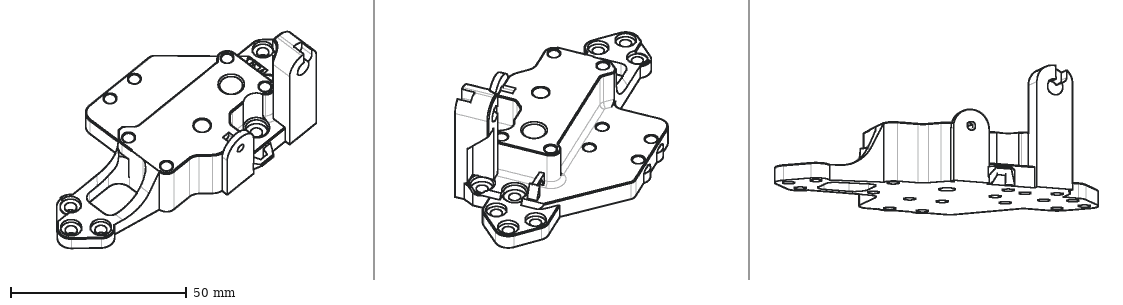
import cadquery as cq
import math

MARGIN = 0.1

PAD_TOP = 4.5
PLATE_TOP = 6.2
BLOCK_TOP = 17.25
POST_TOP = 35.7

END_HOLE_Y = 45.5
PAIR_OFFSET = 6.0
PAIR_HOLE_Y = END_HOLE_Y - PAIR_OFFSET
PAD_RADIUS = 3.985
PAD_HOLES = [(0, END_HOLE_Y), (-PAIR_OFFSET, PAIR_HOLE_Y), (PAIR_OFFSET, PAIR_HOLE_Y)]
PAD_HALF_WIDTH = PAIR_OFFSET + PAD_RADIUS
PAD_OVERLAP = 8.0
PAD_COUNTERBORE = 6.0
PAD_COUNTERBORE_DEPTH = 1.2
PAD_STEP_X = -4.3
PAD_STEP_DEPTH = 0.9

SCREW_HOLE = 3.4
BLOCK_HOLES_X = (-4.0, 11.0)
BLOCK_HOLES_Y = (-17.75, 22.75)
PLATE_HOLES_X = (-24.0, -9.0)
PLATE_HOLES_Y = (-4.6, 5.4)
DEEP_HOLES_X = (3.5, 13.5)
DEEP_HOLES_Y = (16.6, 31.6)
DEEP_COUNTERBORE = 6.5
DEEP_COUNTERBORE_FLOOR = 4.0
DEEP_RIM_CHAMFER = 0.5
RIM_CHAMFER = 0.25
PIVOT_HOLE_X = 8.0
PIVOT_HOLE = 4.7

PLATE_LEFT = -26.6
PLATE_FRONT = -14.35
PLATE_BACK = 35.0
PLATE_RIGHT = 19.45
PLATE_DIAGONAL_X = -5.5
PLATE_DIAGONAL_Y = 15.1
PLATE_CORNER_X = 15.0
PLATE_CORNER_Y = 32.7
PLATE_RIGHT_END_Y = -2.0
PLATE_FRONT_RADIUS = 4.0
PLATE_BACK_RADIUS = 2.5
PLATE_NECK_RADIUS = 2.8
PLATE_BACK_BEVEL = 1.05
EDGE_CHAMFER = 0.3

BOSS_RADIUS = 2.9
BOSS_DIAGONAL = BOSS_RADIUS * math.sqrt(0.5)
BLOCK_LEFT = -5.2
BLOCK_CORNER_LEFT = -8.15
BLOCK_FRONT = BLOCK_HOLES_Y[0] - BOSS_RADIUS
BLOCK_BACK = BLOCK_HOLES_Y[1] + BOSS_RADIUS
BLOCK_RIGHT_FRONT = BLOCK_HOLES_X[1] + BOSS_RADIUS
BLOCK_NECK_Y = -16.0
BLOCK_NECK_RADIUS = 2.0
BLOCK_DIAGONAL = 23.65
BLOCK_DIAGONAL_INNER_RADIUS = 3.9
BLOCK_DIAGONAL_OUTER_RADIUS = 5.0
FACET_Y = BLOCK_HOLES_Y[0] - 2 * BOSS_DIAGONAL + BLOCK_HOLES_X[0] - BLOCK_CORNER_LEFT
RECESS_LEFT = 10.6
RECESS_CORNER = 2.8
RECESS_RADIUS = 2.0
RECESS_FRONT = 6.0
BASE_FILLET = 1.4

ARM_OUTER_LEFT = BLOCK_CORNER_LEFT
WINDOW_LEFT = -5.2
WINDOW_BACK = BLOCK_FRONT
WINDOW_FRONT = -35.2
WINDOW_RIGHT_BACK = 7.4
WINDOW_RIGHT_FRONT = 5.3
WINDOW_RADIUS = 2.6
WINDOW_WIDE_RADIUS = 4.2
ARM_RIGHT_BACK = 11.0
ARM_RIGHT_FRONT = 7.5
LEFT_ARM_TOP = 12.4
LEFT_ARM_SWEEP = 6.2
RIGHT_ARM_BEND_Y = -24.2
RIGHT_ARM_BEND_Z = 10.1

POST_LEFT = 10.9
POST_RIGHT = 21.15
POST_FRONT = 22.3
POST_BACK = 33.3
POST_CORNER_RADIUS = 5.0
POST_EDGE_CHAMFER = 0.4
POST_BORE = 4.7
POST_BORE_Y = 27.9
POST_BORE_Z = 29.5
DRIVER_CLEARANCE_RADIUS = 3.2
POST_NOTCH_Y = 29.1
POST_NOTCH_TOP = 25.1
POST_NOTCH_SLOPE = 6.5
POST_SLOT_X = 17.1
POST_SLOT_Y = 29.8
POST_SLOT_WIDTH = 3.3
POST_SLOT_Z = 32.5

TAB_LEFT = 19.2
TAB_Y = 2.15
TAB_RADIUS = 5.5
TAB_TOP = 21.0
TAB_PIN_DIAMETER = 2.5
TAB_PIN_X = 15.3
TAB_PIN_Z = 16.2

LOOP_RIGHT = 23.25
LOOP_Y = 11.2
LOOP_TOP = 4.7
LOOP_LIP = 0.6
LOOP_CHAMFER = 0.3
LOOP_WALL = 1.6
LOOP_ROOT = 1.0
LOOP_HALF_BASE = 5.0
LOOP_HALF_TIP = 2.4
LOOP_EYE_HALF_BASE = 2.1
LOOP_EYE_HALF_TIP = 1.3

BRIDGE_X = -2.5
BRIDGE_THICKNESS = 1.5
BRIDGE_HEIGHT = 4.0
BRIDGE_BACK = 33.4
BRIDGE_SLOPE = 2.0
BRIDGE_ROOT = 0.5
BRIDGE_FOOT = 2.4
BRIDGE_FOOT_RISE = 3.0
BRIDGE_FOOT_WIDTH = 3.0
TUNNEL_INSET = 0.7
TUNNEL_SLOPE = 1.1
TUNNEL_ROOF = 1.2

NUB_RADIUS = 3.5
NUB_HEIGHT = 4.2
NUB_CHAMFER = 0.8


def box(x0, x1, y0, y1, z0, z1):
    return cq.Workplane("XY").box(x1 - x0, y1 - y0, z1 - z0, centered=False).translate((x0, y0, z0))


def cylinder(x, y, diameter, z0, z1):
    return cq.Workplane("XY").center(x, y).circle(diameter / 2).extrude(z1 - z0).translate((0, 0, z0))


def x_profile(points, x0, x1):
    """Prism along X from a list of (y, z) points."""
    return cq.Workplane("YZ").polyline(points).close().extrude(x1 - x0).translate((x0, 0, 0))


def round_corner(body, x, y, height, radius):
    """Round the vertical edge that stands at (x, y)."""
    corner = cq.selectors.NearestToPointSelector((x, y, height / 2))
    return body.edges("|Z").edges(corner).fillet(radius)


def pad(side):
    """Triangular pad with three rounded corners; side is +1 for the back, -1 for the front."""
    holes = [(x, side * y) for x, y in PAD_HOLES]
    return cq.Workplane("XY").polyline(holes).close().offset2D(PAD_RADIUS).extrude(PAD_TOP)


def back_pad():
    strip = box(-PAD_HALF_WIDTH, PAD_HALF_WIDTH, PLATE_BACK - PAD_OVERLAP, PAIR_HOLE_Y, 0, PAD_TOP)
    return pad(1).union(strip).faces(">Z").edges().chamfer(EDGE_CHAMFER)


def front_pad():
    body = pad(-1).faces(">Z").edges().chamfer(EDGE_CHAMFER)
    step = box(-PAD_HALF_WIDTH, PAD_STEP_X, -END_HOLE_Y - PAD_RADIUS, -PAIR_HOLE_Y,
               PAD_TOP - PAD_STEP_DEPTH, PAD_TOP)
    return body.cut(step)


def base_plate():
    outline = (
        cq.Workplane("XY")
        .moveTo(PLATE_LEFT, PLATE_FRONT)
        .lineTo(PLATE_LEFT, PLATE_DIAGONAL_Y)
        .lineTo(PLATE_DIAGONAL_X, PLATE_BACK)
        .lineTo(PLATE_CORNER_X, PLATE_BACK)
        .lineTo(PLATE_RIGHT, PLATE_CORNER_Y)
        .lineTo(PLATE_RIGHT, PLATE_RIGHT_END_Y)
        .lineTo(BLOCK_LEFT, FACET_Y)
        .lineTo(BLOCK_CORNER_LEFT, FACET_Y)
        .lineTo(BLOCK_CORNER_LEFT, PLATE_FRONT)
        .close()
        .extrude(PLATE_TOP)
    )
    for x, y, radius in (
        (PLATE_LEFT, PLATE_FRONT, PLATE_FRONT_RADIUS),
        (PLATE_LEFT, PLATE_DIAGONAL_Y, PLATE_BACK_RADIUS),
        (PLATE_DIAGONAL_X, PLATE_BACK, PLATE_BACK_RADIUS),
        (BLOCK_CORNER_LEFT, PLATE_FRONT, PLATE_NECK_RADIUS),
    ):
        outline = round_corner(outline, x, y, PLATE_TOP, radius)
    outline = outline.faces(">Z").edges().chamfer(EDGE_CHAMFER)
    back_bevel = x_profile([(PLATE_BACK, PAD_TOP), (PLATE_BACK - PLATE_BACK_BEVEL, PLATE_TOP),
                            (PLATE_BACK, PLATE_TOP)], PLATE_LEFT, PLATE_RIGHT)
    return outline.cut(back_bevel)


def block():
    left_x, right_x = BLOCK_HOLES_X
    front_y, back_y = BLOCK_HOLES_Y
    d = BOSS_DIAGONAL
    mid_arc_x = left_x - BOSS_RADIUS * math.sin(math.pi / 8)
    mid_arc_y = front_y - BOSS_RADIUS * math.cos(math.pi / 8)
    neck_y = BLOCK_NECK_Y + BLOCK_LEFT - BLOCK_CORNER_LEFT
    body = (
        cq.Workplane("XY")
        .moveTo(left_x, BLOCK_BACK)
        .lineTo(right_x, BLOCK_BACK)
        .threePointArc((right_x + BOSS_RADIUS, back_y), (right_x + d, back_y - d))
        .lineTo(RECESS_LEFT, back_y - 2 * d - right_x + RECESS_LEFT)
        .lineTo(RECESS_LEFT, RECESS_FRONT + RECESS_CORNER)
        .lineTo(RECESS_LEFT + RECESS_CORNER, RECESS_FRONT)
        .lineTo(TAB_LEFT, RECESS_FRONT)
        .lineTo(TAB_LEFT, TAB_LEFT - BLOCK_DIAGONAL)
        .lineTo(BLOCK_RIGHT_FRONT, BLOCK_RIGHT_FRONT - BLOCK_DIAGONAL)
        .lineTo(BLOCK_RIGHT_FRONT, front_y)
        .threePointArc((right_x + d, front_y - d), (right_x, BLOCK_FRONT))
        .lineTo(left_x, BLOCK_FRONT)
        .threePointArc((mid_arc_x, mid_arc_y), (left_x - d, front_y - d))
        .lineTo(BLOCK_CORNER_LEFT, FACET_Y)
        .lineTo(BLOCK_CORNER_LEFT, BLOCK_NECK_Y)
        .lineTo(BLOCK_LEFT, neck_y)
        .lineTo(BLOCK_LEFT, back_y - 2 * d + left_x - BLOCK_LEFT)
        .lineTo(left_x - d, back_y - d)
        .threePointArc((left_x - BOSS_RADIUS, back_y), (left_x, BLOCK_BACK))
        .close()
        .extrude(BLOCK_TOP)
    )
    for x, y, radius in (
        (BLOCK_RIGHT_FRONT, BLOCK_RIGHT_FRONT - BLOCK_DIAGONAL, BLOCK_DIAGONAL_INNER_RADIUS),
        (TAB_LEFT, TAB_LEFT - BLOCK_DIAGONAL, BLOCK_DIAGONAL_OUTER_RADIUS),
        (BLOCK_LEFT, neck_y, BLOCK_NECK_RADIUS),
        (RECESS_LEFT, RECESS_FRONT + RECESS_CORNER, RECESS_RADIUS),
        (RECESS_LEFT + RECESS_CORNER, RECESS_FRONT, RECESS_RADIUS),
    ):
        body = round_corner(body, x, y, BLOCK_TOP, radius)
    return body.faces(">Z").edges().chamfer(EDGE_CHAMFER)


def flared_block():
    """Block whose walls run into the plate through a fillet, trimmed to the top of the plate."""
    slab = box(PLATE_LEFT, 2 * PLATE_RIGHT, -PLATE_BACK, PLATE_BACK, 0, PLATE_TOP)
    near_block = cq.selectors.BoxSelector(
        (BLOCK_CORNER_LEFT - MARGIN, BLOCK_FRONT - MARGIN, PLATE_TOP - MARGIN),
        (TAB_LEFT + MARGIN, BLOCK_BACK + MARGIN, PLATE_TOP + MARGIN))
    flared = slab.union(block()).edges(near_block).fillet(BASE_FILLET)
    zone_top = PLATE_TOP + BASE_FILLET
    zone_bottom = PLATE_TOP - EDGE_CHAMFER
    flare_zone = box(BLOCK_CORNER_LEFT - BASE_FILLET, TAB_LEFT, PLATE_FRONT + EDGE_CHAMFER,
                     BLOCK_BACK + BASE_FILLET, zone_bottom, zone_top)
    neck_zone = box(BLOCK_CORNER_LEFT, 0, BLOCK_NECK_Y, PLATE_FRONT + EDGE_CHAMFER,
                    zone_bottom, zone_top)
    front_right = box(0, TAB_LEFT, PLATE_FRONT, RECESS_FRONT, zone_bottom, zone_top)
    flare_zone = flare_zone.cut(front_right).union(neck_zone)
    return block().union(flared.intersect(flare_zone))


def arms():
    """Two arms around a rounded window, each sweeping down from the block to the front pad."""
    end_y = -PAIR_HOLE_Y
    arm_back_y = BLOCK_FRONT + EDGE_CHAMFER
    footprint = (
        cq.Workplane("XY")
        .polyline([(ARM_OUTER_LEFT, FACET_Y), (ARM_OUTER_LEFT, end_y), (ARM_RIGHT_FRONT, end_y),
                   (ARM_RIGHT_BACK, BLOCK_FRONT), (ARM_RIGHT_BACK, arm_back_y),
                   (BLOCK_HOLES_X[0], arm_back_y)])
        .close().extrude(BLOCK_TOP)
    )
    window = (
        cq.Workplane("XY")
        .polyline([(WINDOW_LEFT, WINDOW_BACK), (WINDOW_LEFT, WINDOW_FRONT),
                   (WINDOW_RIGHT_FRONT, WINDOW_FRONT), (WINDOW_RIGHT_BACK, WINDOW_BACK)])
        .close().extrude(BLOCK_TOP)
    )
    window = round_corner(window, WINDOW_LEFT, WINDOW_BACK, BLOCK_TOP, WINDOW_WIDE_RADIUS)
    for x, y in ((WINDOW_LEFT, WINDOW_FRONT), (WINDOW_RIGHT_FRONT, WINDOW_FRONT),
                 (WINDOW_RIGHT_BACK, WINDOW_BACK)):
        window = round_corner(window, x, y, BLOCK_TOP, WINDOW_RADIUS)
    footprint = footprint.cut(window)

    flat = box(-PAD_HALF_WIDTH, BLOCK_RIGHT_FRONT, end_y, FACET_Y, 0, PAD_TOP)

    outward = cq.Vector(-1, -1, 0)
    facet_plane = cq.Plane((BLOCK_CORNER_LEFT, FACET_Y, 0), outward, outward.cross(cq.Vector(0, 0, 1)))
    left_curve = (
        cq.Workplane(facet_plane)
        .moveTo(-BOSS_RADIUS, 0)
        .lineTo(-BOSS_RADIUS, LEFT_ARM_TOP)
        .lineTo(0, LEFT_ARM_TOP)
        .spline([(LEFT_ARM_SWEEP, PAD_TOP)], tangents=[(0, -1), (1, 0)], includeCurrent=True)
        .lineTo(LEFT_ARM_SWEEP, 0)
        .close().extrude(PAD_HALF_WIDTH, both=True)
        .intersect(box(-PAD_HALF_WIDTH, 0, end_y, FACET_Y, 0, BLOCK_TOP))
    )

    slope = math.atan2(BLOCK_TOP - RIGHT_ARM_BEND_Z, BLOCK_FRONT - RIGHT_ARM_BEND_Y)
    radius = (RIGHT_ARM_BEND_Z - PAD_TOP) / (1 - math.cos(slope))
    arc_end_y = RIGHT_ARM_BEND_Y - radius * math.sin(slope)
    arc_mid = (arc_end_y + radius * math.sin(slope / 2), PAD_TOP + radius * (1 - math.cos(slope / 2)))
    right_curve = (
        cq.Workplane("YZ")
        .moveTo(arm_back_y, 0)
        .lineTo(arm_back_y, BLOCK_TOP)
        .lineTo(BLOCK_FRONT, BLOCK_TOP)
        .lineTo(RIGHT_ARM_BEND_Y, RIGHT_ARM_BEND_Z)
        .threePointArc(arc_mid, (arc_end_y, PAD_TOP))
        .lineTo(arc_end_y, 0)
        .close().extrude(BLOCK_RIGHT_FRONT)
    )
    return footprint.intersect(flat.union(left_curve).union(right_curve))


def post():
    """Tall post with a cross bore, cleared for the screws below and beside it."""
    body = box(POST_LEFT, POST_RIGHT, POST_FRONT, POST_BACK, 0, POST_TOP)
    body = body.edges("|X and >Z").fillet(POST_CORNER_RADIUS)
    driver = cylinder(BLOCK_HOLES_X[1], BLOCK_HOLES_Y[1], 2 * DRIVER_CLEARANCE_RADIUS, 0, POST_TOP)
    body = body.cut(driver)
    edge_zone = cq.selectors.BoxSelector(
        (POST_LEFT - MARGIN, POST_FRONT - MARGIN, MARGIN),
        (BLOCK_HOLES_X[1] + DRIVER_CLEARANCE_RADIUS + MARGIN, POST_BACK + MARGIN, POST_TOP + MARGIN))
    sharp_y = BLOCK_HOLES_Y[1] + DRIVER_CLEARANCE_RADIUS
    sharp_edge = cq.selectors.BoxSelector(
        (POST_LEFT - MARGIN, sharp_y - MARGIN, MARGIN),
        (POST_LEFT + MARGIN, sharp_y + MARGIN, POST_TOP - MARGIN))
    body = body.edges(edge_zone - sharp_edge).edges("not <Z").chamfer(POST_EDGE_CHAMFER)
    notch = (
        cq.Workplane("XZ")
        .polyline([(POST_LEFT, PLATE_TOP), (POST_LEFT, POST_NOTCH_TOP),
                   (POST_LEFT + POST_NOTCH_SLOPE, POST_NOTCH_TOP - POST_NOTCH_SLOPE),
                   (POST_LEFT + POST_NOTCH_SLOPE, PLATE_TOP)])
        .close().extrude(POST_NOTCH_Y - PLATE_BACK).translate((0, POST_NOTCH_Y, 0))
    )
    bore = (
        cq.Workplane("YZ").center(POST_BORE_Y, POST_BORE_Z)
        .circle(POST_BORE / 2).extrude(POST_RIGHT)
    )
    slot_radius = POST_SLOT_WIDTH / 2
    slot = (
        cq.Workplane("YZ").center(POST_SLOT_Y, POST_SLOT_Z)
        .circle(slot_radius).extrude(POST_RIGHT - POST_SLOT_X)
        .translate((POST_SLOT_X, 0, 0))
        .union(box(POST_SLOT_X, POST_RIGHT, POST_SLOT_Y - slot_radius, POST_SLOT_Y + slot_radius,
                   POST_SLOT_Z, POST_TOP))
    )
    return body.cut(notch).cut(bore).cut(slot)


def round_tab():
    """Thin upright tab with a round top."""
    center_z = TAB_TOP - TAB_RADIUS
    thickness = POST_RIGHT - TAB_LEFT
    disc = cq.Workplane("YZ").center(TAB_Y, center_z).circle(TAB_RADIUS).extrude(thickness)
    stem = box(TAB_LEFT, POST_RIGHT, TAB_Y - TAB_RADIUS, TAB_Y + TAB_RADIUS, 0, center_z)
    return disc.translate((TAB_LEFT, 0, 0)).union(stem)


def tab_pin_hole():
    hole = cq.Workplane("YZ").center(TAB_Y, TAB_PIN_Z).circle(TAB_PIN_DIAMETER / 2)
    bore = hole.extrude(POST_RIGHT - TAB_PIN_X).translate((TAB_PIN_X, 0, 0))
    radius = TAB_PIN_DIAMETER / 2
    groove = box(TAB_PIN_X, TAB_LEFT, TAB_Y - radius, TAB_Y + radius, TAB_PIN_Z, BLOCK_TOP)
    return bore.union(groove)


def wire_loop():
    """Small eyelet beside the plate, sloped underneath at 45 degrees."""
    inner_x = PLATE_RIGHT - LOOP_ROOT

    def trapezoid(reach, half_base, half_tip):
        return (
            cq.Workplane("XY")
            .polyline([(inner_x, LOOP_Y - half_base), (PLATE_RIGHT, LOOP_Y - half_base),
                       (reach, LOOP_Y - half_tip), (reach, LOOP_Y + half_tip),
                       (PLATE_RIGHT, LOOP_Y + half_base), (inner_x, LOOP_Y + half_base)])
            .close().extrude(LOOP_TOP)
        )
    eye = trapezoid(LOOP_RIGHT - LOOP_WALL, LOOP_EYE_HALF_BASE, LOOP_EYE_HALF_TIP)
    eye = eye.intersect(box(PLATE_RIGHT, LOOP_RIGHT, -PLATE_BACK, PLATE_BACK, 0, LOOP_TOP))
    drop = LOOP_RIGHT - PLATE_RIGHT
    lip_z = LOOP_TOP - LOOP_LIP
    support = (
        cq.Workplane("XZ")
        .polyline([(inner_x, LOOP_TOP), (LOOP_RIGHT, LOOP_TOP), (LOOP_RIGHT, lip_z),
                   (PLATE_RIGHT, lip_z - drop), (inner_x, lip_z - drop)])
        .close().extrude(-PLATE_BACK)
    )
    ring = trapezoid(LOOP_RIGHT, LOOP_HALF_BASE, LOOP_HALF_TIP)
    ring = ring.faces(">Z").edges(">X").chamfer(LOOP_CHAMFER)
    return ring.intersect(support).cut(eye)


def wire_bridge():
    """Narrow bridge standing on the plate behind the block, with a tunnel through it."""
    y0 = BLOCK_BACK
    y1 = BRIDGE_BACK
    top = PLATE_TOP + BRIDGE_HEIGHT
    tunnel_top = top - TUNNEL_ROOF
    half = BRIDGE_THICKNESS / 2
    half_foot = BRIDGE_FOOT_WIDTH / 2
    outer = x_profile([(y0 - BRIDGE_ROOT, PLATE_TOP), (y0 - BRIDGE_ROOT, top),
                       (y1 - BRIDGE_SLOPE, top), (y1, PLATE_TOP)],
                      BRIDGE_X - half, BRIDGE_X + half)
    tunnel = x_profile([(y0 + TUNNEL_INSET, PLATE_TOP),
                        (y0 + TUNNEL_INSET + TUNNEL_SLOPE, tunnel_top),
                        (y1 - BRIDGE_SLOPE - TUNNEL_ROOF, tunnel_top),
                        (y1 - TUNNEL_INSET - TUNNEL_ROOF, PLATE_TOP)],
                       BRIDGE_X - half_foot, BRIDGE_X + half_foot)
    back_foot = x_profile([(y1 - BRIDGE_SLOPE, top), (y1, PLATE_TOP), (y1 - BRIDGE_FOOT, PLATE_TOP),
                           (y1 - BRIDGE_FOOT, PLATE_TOP + BRIDGE_FOOT_RISE)],
                          BRIDGE_X - half_foot, BRIDGE_X + half_foot)
    return outer.union(back_foot).cut(tunnel)


def nub(y):
    """Round boss about a left plate hole, showing as a small nub on the side of the plate."""
    body = cylinder(PLATE_HOLES_X[0], y, 2 * NUB_RADIUS, 0, NUB_HEIGHT)
    return body.faces(">Z").edges().chamfer(NUB_CHAMFER)


def chamfered_hole(x, y, diameter, top, chamfer):
    """Through hole with a chamfered rim at height top."""
    rim = (
        cq.Workplane("XY").workplane(offset=top - chamfer).center(x, y).circle(diameter / 2)
        .workplane(offset=chamfer).circle(diameter / 2 + chamfer).loft()
    )
    return cylinder(x, y, diameter, 0, top).union(rim)


def holes():
    cutters = []
    for x, y in PAD_HOLES:
        for side in (1, -1):
            cutters.append(cylinder(x, side * y, SCREW_HOLE, 0, PAD_TOP))
            cutters.append(cylinder(x, side * y, PAD_COUNTERBORE,
                                    PAD_TOP - PAD_COUNTERBORE_DEPTH, PAD_TOP))
    for x in BLOCK_HOLES_X:
        for y in BLOCK_HOLES_Y:
            cutters.append(chamfered_hole(x, y, SCREW_HOLE, BLOCK_TOP, RIM_CHAMFER))
    for x in PLATE_HOLES_X:
        for y in PLATE_HOLES_Y:
            cutters.append(chamfered_hole(x, y, SCREW_HOLE, PLATE_TOP, RIM_CHAMFER))
    for x in DEEP_HOLES_X:
        for y in DEEP_HOLES_Y:
            cutters.append(cylinder(x, y, SCREW_HOLE, 0, BLOCK_TOP))
            on_plate = y > BLOCK_BACK or x > RECESS_LEFT
            rim_top = PLATE_TOP if on_plate else BLOCK_TOP
            recess = chamfered_hole(x, y, DEEP_COUNTERBORE, rim_top, DEEP_RIM_CHAMFER)
            cutters.append(recess.intersect(
                cylinder(x, y, 2 * DEEP_COUNTERBORE, DEEP_COUNTERBORE_FLOOR, BLOCK_TOP)))
    open_x = DEEP_HOLES_X[0]
    open_y = DEEP_HOLES_Y[1]
    half_width = DEEP_COUNTERBORE / 2
    cutters.append(box(open_x - half_width, open_x + half_width, open_y, PLATE_BACK,
                       PAD_TOP, PLATE_TOP))
    cutters.append(cylinder(DEEP_HOLES_X[1], DEEP_HOLES_Y[0], DEEP_COUNTERBORE + 2 * DEEP_RIM_CHAMFER,
                            PLATE_TOP, BLOCK_TOP))
    cutters.append(chamfered_hole(PIVOT_HOLE_X, 0, PIVOT_HOLE, BLOCK_TOP, RIM_CHAMFER))
    return cutters


result = base_plate().union(flared_block())
for section in (back_pad(), front_pad(), arms(), round_tab(), wire_loop(), wire_bridge(), post()):
    result = result.union(section)
for nub_y in PLATE_HOLES_Y:
    result = result.union(nub(nub_y))
for cutter in holes() + [tab_pin_hole()]:
    result = result.cut(cutter)